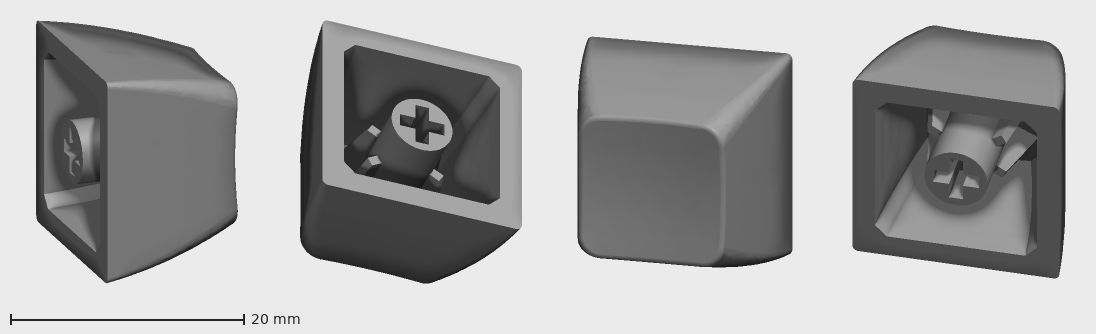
import cadquery as cq

BLANK_HEIGHT = 14.21
LOFT_STEPS = 3

BASE_HALF = 9.11
WALL_LEAN = 0.098
WALL_CURVE = 0.008782
BASE_CORNER = 0.53
CORNER_GROWTH = 0.075
CORNER_CURVE = 0.002744

DISH_RADIUS = 40.08
DISH_LOW = 12.15
TOP_ROUND = 0.4

OPENING_HALF = 7.12
CEILING_HALF = 5.01
CAVITY_BULGE = 0.3
OPENING_CHAMFER = 1.02
CEILING_CHAMFER = 0.95
CAVITY_HEIGHT = 10.75
TOP_THICKNESS = 1.99

STEM_DIAMETER = 5.55
CROSS_SPAN = 4.06
CROSS_ARM = 1.22
CROSS_DEPTH = 4.0

RIB_ANGLE = 30.0
RIB_WIDTH = 0.84
RIB_FLAT_REACH = 3.77
RIB_FULL_REACH = 5.28
RIB_START = 4.06
RIB_SLOPE_END = 10.39

ROOT_HEIGHT = DISH_LOW - TOP_THICKNESS / 2

SPHERE_CENTER = (0, DISH_LOW + DISH_RADIUS, 0)


def plane_at(height):
    """Sketch plane across the cap, with its normal along +Y."""
    return cq.Plane(origin=(0, height, 0), xDir=(1, 0, 0), normal=(0, 1, 0))


def square_at(height, half):
    """Square section at the given height, with its corners selected."""
    return cq.Sketch().rect(2 * half, 2 * half).vertices(), cq.Location(cq.Vector(0, 0, height))


def outer_section(height):
    half = BASE_HALF - WALL_LEAN * height - WALL_CURVE * height**2
    corner = BASE_CORNER + CORNER_GROWTH * height + CORNER_CURVE * height**2
    square, place = square_at(height, half)
    return square.fillet(corner).moved(place)


def outer_body():
    """Bowed, tapering square with corners that grow rounder toward the dished top."""
    sections = [outer_section(BLANK_HEIGHT * step / LOFT_STEPS) for step in range(LOFT_STEPS + 1)]
    blank = cq.Workplane(plane_at(0)).placeSketch(*sections).loft()
    dish = cq.Workplane("XY").sphere(DISH_RADIUS).translate(SPHERE_CENTER)
    return blank.cut(dish).faces("%SPHERE").edges().fillet(TOP_ROUND)


def cavity_section(rise):
    """Chamfered section; rise runs from 0 at the opening to 1 at the ceiling."""
    taper = OPENING_HALF + (CEILING_HALF - OPENING_HALF) * rise
    bulge = 4 * CAVITY_BULGE * rise * (1 - rise)
    square, place = square_at(CAVITY_HEIGHT * rise, taper + bulge)
    return square.chamfer(OPENING_CHAMFER + (CEILING_CHAMFER - OPENING_CHAMFER) * rise).moved(place)


def cavity():
    """Bowed, tapering hollow with chamfered corners and a ceiling parallel to the dish."""
    sections = [cavity_section(step / LOFT_STEPS) for step in range(LOFT_STEPS + 1)]
    hollow = cq.Workplane(plane_at(0)).placeSketch(*sections).loft()
    ceiling = cq.Workplane("XY").sphere(DISH_RADIUS + TOP_THICKNESS).translate(SPHERE_CENTER)
    return hollow.cut(ceiling)


def stem():
    return cq.Workplane(plane_at(0)).circle(STEM_DIAMETER / 2).extrude(ROOT_HEIGHT)


def ribs():
    """Four sloped braces between the stem and the ceiling."""
    brace = (
        cq.Workplane("XY")
        .polyline([
            (0, RIB_START),
            (RIB_FLAT_REACH, RIB_START),
            (RIB_FULL_REACH, RIB_SLOPE_END),
            (RIB_FULL_REACH, ROOT_HEIGHT),
            (0, ROOT_HEIGHT),
        ])
        .close()
        .extrude(RIB_WIDTH / 2, both=True)
    )
    braces = cq.Workplane("XY")
    for angle in (RIB_ANGLE, 180 - RIB_ANGLE, 180 + RIB_ANGLE, -RIB_ANGLE):
        braces = braces.add(brace.rotate((0, 0, 0), (0, 1, 0), angle))
    return braces.combine()


def cross_socket():
    arm = cq.Workplane(plane_at(0)).rect(CROSS_SPAN, CROSS_ARM).extrude(CROSS_DEPTH)
    return arm.union(arm.rotate((0, 0, 0), (0, 1, 0), 90))


result = outer_body().cut(cavity()).union(ribs()).union(stem()).cut(cross_socket())